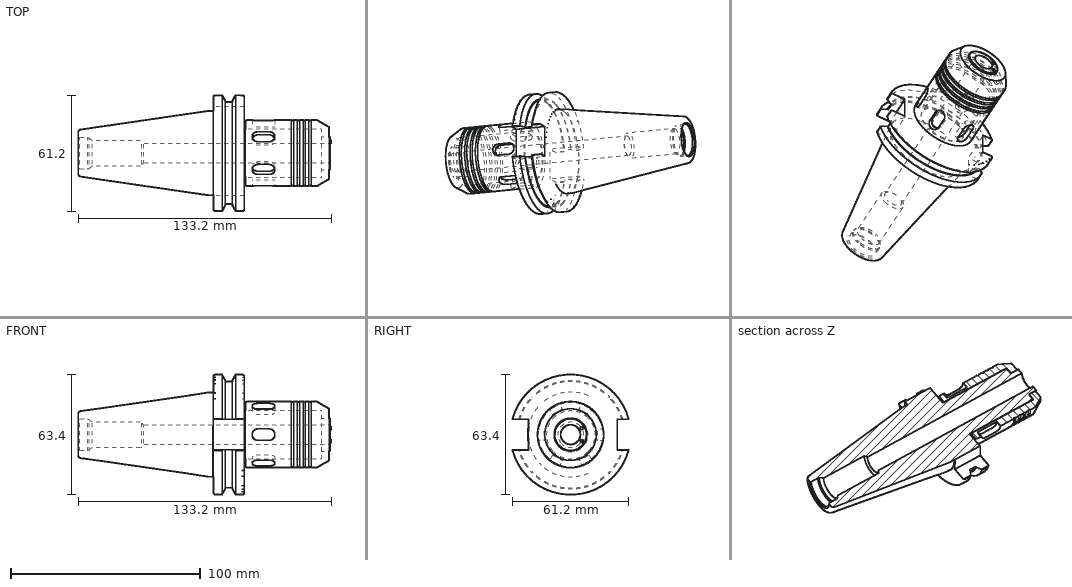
import cadquery as cq
import math

small_end_radius = 12.3
small_end_fillet = 1.7
gauge_radius = 22.3
gauge_x = 68.5

flange_start_x = 71.3
flange_end_x = 87.5
flange_radius = 31.7
flange_fillet = 1.0
flange_root_fillet = 0.4
groove_floor_radius = 28.1
groove_center_x = 79.4
groove_step = 0.5
groove_mouth_width = 7.2
groove_wall_angle = 60

slot_width = 16.1
slot_chamfer = 0.4
slot_floor_plus_y = 24.7
slot_floor_minus_y = 22.3

mouth_radius = 18.0 / 2
entry_radius = 16.7 / 2
entry_end_x = 4.8
lead_radius = 8.1
lead_end_x = 5.6
thread_radius = 13.5 / 2
thread_start_x = 7.3
thread_end_x = 33.3
through_radius = 10.3 / 2
drill_half_angle = 60

nose_radius = 25.5 / 2
collar_radius = 8.7
collar_end_x = 132.9
collar_chamfer = 0.33
stud_end_x = 133.2
stud_radius = 0.8
stud_circle_radius = 6.8
stud_angles = (60, 120)

nut_start_x = 88.1
nut_end_x = 132.2
nut_radius = 17.5
nut_back_fillet = 1.0
nut_cone_start_x = 125.8
nut_cone_angle = 30
nut_cone_end_x = 131.8
nut_shoulder_fillet = 1.0
nut_front_wall = 4.0

wrench_slot_count = 6
wrench_slot_length = 12.0
wrench_slot_width = 6.0
wrench_slot_center_x = 97.7
wrench_slot_floor = 14.0
grip_groove_count = 4
grip_groove_first_x = 113.0
grip_groove_pitch = 3.0
grip_groove_width = 1.2
grip_groove_depth = 0.4

seat_x = nut_end_x - nut_front_wall


def revolve_about_x(profile):
    """Turn a closed (x, radius) profile around the X axis."""
    return profile.close().revolve(360, (0, 0, 0), (1, 0, 0))


def cylinder(radius, start_x, end_x):
    return cq.Workplane("YZ", origin=(start_x, 0, 0)).circle(radius).extrude(end_x - start_x)


def make_shank():
    profile = (
        cq.Workplane("XY")
        .lineTo(0, small_end_radius)
        .lineTo(gauge_x, gauge_radius)
        .lineTo(flange_start_x, gauge_radius)
        .lineTo(flange_start_x, 0)
    )
    return revolve_about_x(profile).faces("<X").edges().fillet(small_end_fillet)


def make_flange():
    blank = cylinder(flange_radius, flange_start_x, flange_end_x)
    blank = blank.faces("<X or >X").edges().fillet(flange_fillet)
    half_mouth = groove_mouth_width / 2
    step_radius = groove_floor_radius + groove_step
    wall_run = (flange_radius - step_radius) / math.tan(math.radians(groove_wall_angle))
    half_floor = half_mouth - wall_run
    groove = revolve_about_x(
        cq.Workplane("XY")
        .moveTo(groove_center_x - half_mouth, flange_radius)
        .lineTo(groove_center_x - half_floor, step_radius)
        .lineTo(groove_center_x - half_floor, groove_floor_radius)
        .lineTo(groove_center_x + half_floor, groove_floor_radius)
        .lineTo(groove_center_x + half_floor, step_radius)
        .lineTo(groove_center_x + half_mouth, flange_radius)
    )
    flange = blank.cut(groove)
    for side, floor in ((1, slot_floor_plus_y), (-1, slot_floor_minus_y)):
        flange = flange.cut(make_drive_slot(side, floor))
    return flange


def make_drive_slot(side, floor):
    """Cutter for one drive slot, with its rim edges chamfered by the widening mouth."""
    half_width = slot_width / 2
    rim = math.sqrt(flange_radius**2 - half_width**2) - slot_chamfer
    mouth_half_width = half_width + 2 * slot_chamfer
    return (
        cq.Workplane("YZ", origin=(flange_start_x, 0, 0))
        .polyline(
            [
                (side * floor, -half_width),
                (side * rim, -half_width),
                (side * (rim + 2 * slot_chamfer), -mouth_half_width),
                (side * flange_radius, -mouth_half_width),
                (side * flange_radius, mouth_half_width),
                (side * (rim + 2 * slot_chamfer), mouth_half_width),
                (side * rim, half_width),
                (side * floor, half_width),
            ]
        )
        .close()
        .extrude(flange_end_x - flange_start_x)
    )


def make_bore():
    cone_length = (thread_radius - through_radius) / math.tan(math.radians(drill_half_angle))
    profile = (
        cq.Workplane("XY")
        .lineTo(0, mouth_radius)
        .lineTo(mouth_radius - entry_radius, entry_radius)
        .lineTo(entry_end_x, entry_radius)
        .lineTo(entry_end_x, lead_radius)
        .lineTo(lead_end_x, lead_radius)
        .lineTo(thread_start_x, thread_radius)
        .lineTo(thread_end_x, thread_radius)
        .lineTo(thread_end_x + cone_length, through_radius)
        .lineTo(collar_end_x, through_radius)
        .lineTo(collar_end_x, 0)
    )
    return revolve_about_x(profile)


def make_root_fillet():
    """Concave ring that blends the gauge cylinder into the flange face."""
    start_x = flange_start_x - flange_root_fillet
    top = gauge_radius + flange_root_fillet
    middle = flange_root_fillet * math.sqrt(0.5)
    profile = (
        cq.Workplane("XY")
        .moveTo(start_x, gauge_radius)
        .threePointArc((start_x + middle, top - middle), (flange_start_x, top))
        .lineTo(flange_start_x, gauge_radius)
    )
    return revolve_about_x(profile)


def make_studs():
    return [
        cylinder(stud_radius, collar_end_x, stud_end_x).translate(
            (
                0,
                stud_circle_radius * math.sin(math.radians(angle)),
                stud_circle_radius * math.cos(math.radians(angle)),
            )
        )
        for angle in stud_angles
    ]


def make_holder():
    holder = make_shank().union(make_flange()).union(make_root_fillet())
    holder = holder.union(cylinder(nose_radius, flange_end_x, seat_x))
    collar = cylinder(collar_radius, seat_x, collar_end_x).faces(">X").edges().chamfer(collar_chamfer)
    holder = holder.union(collar)
    for stud in make_studs():
        holder = holder.union(stud)
    return holder.cut(make_bore())


def make_wrench_slot(index):
    slot = (
        cq.Workplane("XY", origin=(wrench_slot_center_x, 0, wrench_slot_floor))
        .slot2D(wrench_slot_length, wrench_slot_width)
        .extrude(nut_radius - wrench_slot_floor)
    )
    angle = 90 + index * 360 / wrench_slot_count
    return slot.rotate((0, 0, 0), (1, 0, 0), angle)


def make_grip_groove(index):
    center_x = grip_groove_first_x + index * grip_groove_pitch
    profile = (
        cq.Workplane("XY")
        .moveTo(center_x - grip_groove_width / 2, nut_radius)
        .threePointArc(
            (center_x, nut_radius - grip_groove_depth),
            (center_x + grip_groove_width / 2, nut_radius),
        )
    )
    return revolve_about_x(profile)


def make_nut():
    cone_drop = (nut_cone_end_x - nut_cone_start_x) * math.tan(math.radians(nut_cone_angle))
    front_radius = nut_radius - cone_drop
    corner = nut_end_x - nut_cone_end_x
    outline = (
        cq.Workplane("XY")
        .moveTo(nut_start_x, 0)
        .lineTo(nut_start_x, nut_radius)
        .lineTo(nut_cone_start_x, nut_radius)
        .lineTo(nut_cone_end_x, front_radius)
        .lineTo(nut_end_x, front_radius - corner)
        .lineTo(nut_end_x, 0)
    )
    nut = revolve_about_x(outline).faces("<X").edges().fillet(nut_back_fillet)
    shoulder = cq.selectors.NearestToPointSelector((nut_cone_start_x, 0, 0))
    nut = nut.edges("%CIRCLE").edges(shoulder).fillet(nut_shoulder_fillet)
    nut = nut.cut(cylinder(nose_radius, nut_start_x, seat_x))
    nut = nut.cut(cylinder(collar_radius, seat_x, nut_end_x))
    for index in range(wrench_slot_count):
        nut = nut.cut(make_wrench_slot(index))
    for index in range(grip_groove_count):
        nut = nut.cut(make_grip_groove(index))
    return nut


holder = make_holder()
nut = make_nut()

result = cq.Compound.makeCompound([holder.val(), nut.val()])